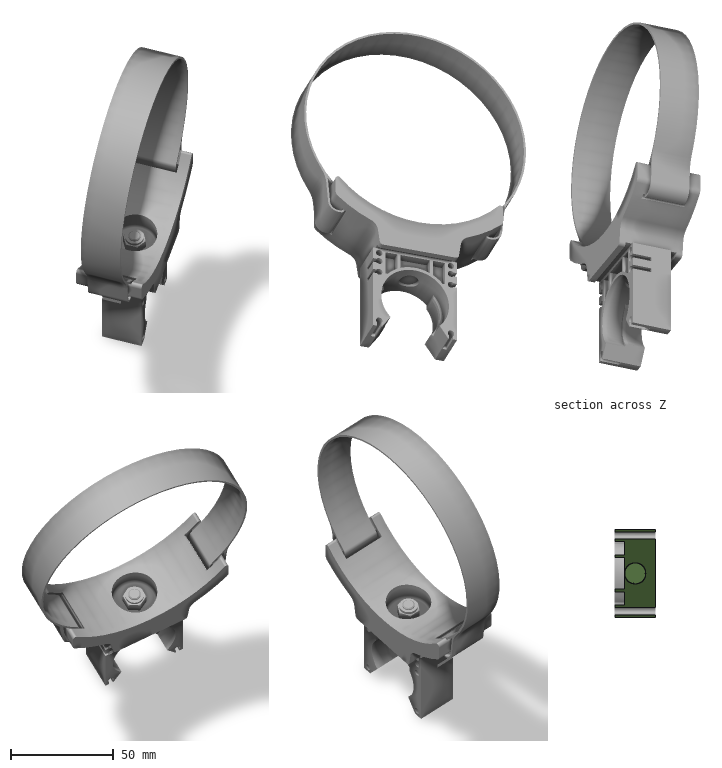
import cadquery as cq
import math


strap_width = 20.1
strap_thickness = 1.0
ring_outer_radius = 57.0
ring_radius = ring_outer_radius - strap_thickness / 2
flare_angle = 32.5
flare_radius = 16.3
outer_leg_lean = 5.0
outer_bend_radius = 5.0
slot_bend_radius = 1.7
slot_leg_y = 36.5
loop_bottom_z = -53.0

saddle_width = 33.2
saddle_inner_radius = 55.5
saddle_outer_radius = 64.2
saddle_half_span = 43.0
saddle_tip_z = -37.3
tip_outer_fillet = 1.7
tip_inner_fillet = 1.0
elbow_fillet = 3.1
foot_bottom_z = -72.1
foot_half_length = 20.1
foot_draft = 8.0
foot_edge_fillet = 1.7
neck_fillet = 6.0
channel_width = 26.7
recess_width = 22.5
slot_inner_top_y = 33.5
slot_inner_bottom_y = 35.8
slot_outer_y = 37.7
slot_bottom_z = -54.0
nut_pocket_diameter = 22.2
nut_pocket_floor_z = -64.0
nut_pocket_fillet = 1.2

clip_width = strap_width
clip_half_length = 21.5
clip_top_z = -70.4
clip_bottom_z = ring_outer_radius - 172
bore_z = -96.7
bore_radius = 17.4
ridge_radius = 15.8
ridge_gap_half_length = 12.7
ridge_width = clip_width / 2
ridge_lead_in_length = 1.5
ridge_lead_in_depth = 0.3
jaw_tip_y = 11.7
jaw_tip_z = -107.4
jaw_foot_y = 17.0
pocket_depth = 4.8
pocket_roof_z = clip_top_z - 1.5
pocket_arc_radius = 19.0
center_pocket_half_length = 7.5
side_pocket_inner_y = 9.1
side_pocket_outer_y = 15.3
side_pocket_bottom_z = -84.1
hole_diameter = 3.3
hole_y = 18.4
plain_hole_z = -73.0
slotted_hole_zs = (-77.6, -83.8)
jaw_hole_z = -111.8
wire_slot_height = 2.0
wire_slot_depth = 9.8

bolt_diameter = 6.0
bolt_end_z = -56.5
bolt_end_chamfer = 0.5
bolt_head_diameter = 10.0
bolt_head_height = 5.9
bolt_head_top_z = -72.3
nut_across_flats = 10.0
nut_hexagon_height = 5.2
nut_height = 6.5
nut_chamfer = 0.5
nut_collar_diameter = 9.0
insert_diameter = 7.5
insert_height = 1.4


def bar_along_x(outline, width):
    """Solid of the given width, centred on x = 0, from a closed YZ outline."""
    return outline.extrude(width / 2, both=True)


def block(x_range, y_range, z_range):
    """Box between the given limits."""
    size = [high - low for low, high in (x_range, y_range, z_range)]
    return cq.Workplane("XY").box(*size, centered=False).translate((x_range[0], y_range[0], z_range[0]))


def cylinder_x(radius, y, z, width):
    """Cylinder along X, centred on x = 0."""
    return bar_along_x(cq.Workplane("YZ").center(y, z).circle(radius), width)


def cylinder_z(diameter, bottom_z, top_z):
    """Cylinder on the Z axis."""
    return cq.Workplane("XY").workplane(offset=bottom_z).circle(diameter / 2).extrude(top_z - bottom_z)


def both_sides(shape):
    """Shape and its mirror image across y = 0, for use as two cutters."""
    return cq.Workplane(obj=cq.Compound.makeCompound([shape.val(), shape.mirror("XZ").val()]))


def band(start, heading, steps):
    """Strip of strap whose middle line starts at a YZ point with a heading in degrees.

    Each step is (length, 0) for a straight or (radius, turn) for an arc, with turn positive to the left.
    """
    half = strap_thickness / 2

    def edge_point(point, direction, side):
        angle = math.radians(direction)
        return (point[0] - side * half * math.sin(angle), point[1] + side * half * math.cos(angle))

    def advance(point, direction, size, turn):
        if turn == 0:
            distance = size
        else:
            distance = 2 * size * math.sin(math.radians(abs(turn) / 2))
        angle = math.radians(direction + turn / 2)
        return (point[0] + distance * math.cos(angle), point[1] + distance * math.sin(angle))

    stations = [(start, heading)]
    middles = []
    for size, turn in steps:
        point, direction = stations[-1]
        middles.append((advance(point, direction, size, turn / 2), direction + turn / 2))
        stations.append((advance(point, direction, size, turn), direction + turn))

    outline = cq.Workplane("YZ").moveTo(*edge_point(*stations[0], 1))
    for index, (_, turn) in enumerate(steps):
        end = edge_point(*stations[index + 1], 1)
        if turn == 0:
            outline = outline.lineTo(*end)
        else:
            outline = outline.threePointArc(edge_point(*middles[index], 1), end)
    outline = outline.lineTo(*edge_point(*stations[-1], -1))
    for index in reversed(range(len(steps))):
        end = edge_point(*stations[index], -1)
        if steps[index][1] == 0:
            outline = outline.lineTo(*end)
        else:
            outline = outline.threePointArc(edge_point(*middles[index], -1), end)
    return bar_along_x(outline.close(), strap_width)


def make_strap():
    """Ring whose two ends each loop through a slot of the saddle and run back up to the ring."""
    entry_y = slot_leg_y + slot_bend_radius
    entry_z = -math.sqrt((ring_radius + slot_bend_radius) ** 2 - entry_y ** 2)
    entry_angle = math.degrees(math.atan2(entry_y, -entry_z))
    ring_turn = 180 - entry_angle

    flare = math.radians(flare_angle)
    lean = math.radians(outer_leg_lean)
    flare_center_distance = ring_radius + flare_radius
    leg_top_y = flare_center_distance * math.cos(flare) - flare_radius * math.cos(lean)
    leg_top_z = -flare_center_distance * math.sin(flare) + flare_radius * math.sin(lean)
    leg_bottom_z = loop_bottom_z + outer_bend_radius * (1 - math.sin(lean))
    leg_length = (leg_top_z - leg_bottom_z) / math.cos(lean)
    leg_bottom_y = leg_top_y - leg_length * math.sin(lean)
    bottom_end_y = leg_bottom_y - outer_bend_radius * math.cos(lean)

    ring_end = math.radians(entry_angle)
    start = (ring_radius * math.sin(ring_end), -ring_radius * math.cos(ring_end))
    mirrored_start = (-start[0], start[1])
    ring = band(mirrored_start, ring_turn, [(ring_radius, -2 * ring_turn)])
    loop = band(
        start,
        -ring_turn,
        [
            (slot_bend_radius, 90 - entry_angle),
            (entry_z - loop_bottom_z - slot_bend_radius, 0),
            (slot_bend_radius, 90),
            (bottom_end_y - slot_leg_y - slot_bend_radius, 0),
            (outer_bend_radius, 90 - outer_leg_lean),
            (leg_length, 0),
            (flare_radius, outer_leg_lean - flare_angle),
        ],
    )
    return ring.union(loop).union(loop.mirror("XZ"))


def saddle_blank():
    """Curved cradle on a drafted foot, with all outline corners rounded."""
    cradle = bar_along_x(
        cq.Workplane("YZ").circle(saddle_outer_radius), saddle_width
    ).intersect(
        block(
            (-saddle_width, saddle_width),
            (-saddle_half_span, saddle_half_span),
            (-saddle_outer_radius, saddle_tip_z),
        )
    )
    foot_rise = saddle_inner_radius + foot_bottom_z
    foot_top_half = foot_half_length - foot_rise * math.tan(math.radians(foot_draft))
    foot_outline = cq.Workplane("YZ").polyline(
        [
            (-foot_half_length, foot_bottom_z),
            (foot_half_length, foot_bottom_z),
            (foot_top_half, -saddle_inner_radius),
            (-foot_top_half, -saddle_inner_radius),
        ]
    ).close()
    blank = cradle.union(bar_along_x(foot_outline, saddle_width))
    blank = blank.cut(cylinder_x(saddle_inner_radius, 0, 0, saddle_width))

    elbow_z = -math.sqrt(saddle_outer_radius ** 2 - saddle_half_span ** 2)
    tip_inner_y = math.sqrt(saddle_inner_radius ** 2 - saddle_tip_z ** 2)
    neck_z = -math.sqrt(saddle_outer_radius ** 2 - foot_top_half ** 2)
    corners = [
        (saddle_half_span, saddle_tip_z, tip_outer_fillet),
        (tip_inner_y, saddle_tip_z, tip_inner_fillet),
        (saddle_half_span, elbow_z, elbow_fillet),
        (foot_top_half, neck_z, neck_fillet),
        (foot_half_length, foot_bottom_z, foot_edge_fillet),
    ]
    reach = 1.0
    for y, z, radius in corners:
        for side in (-1, 1):
            near_corner = cq.selectors.BoxSelector(
                (-saddle_width, side * y - reach, z - reach),
                (saddle_width, side * y + reach, z + reach),
            )
            blank = blank.edges("|X").edges(near_corner).fillet(radius)
    return blank


def strap_slot():
    """Recess for the strap in the cradle's face, and the slot that leads it out below."""
    recess = cylinder_x(ring_outer_radius, 0, 0, recess_width).intersect(
        block(
            (-saddle_width, saddle_width),
            (slot_inner_top_y, ring_outer_radius),
            (-ring_outer_radius, 0),
        )
    )
    slot_top_z = -math.sqrt(saddle_inner_radius ** 2 - slot_outer_y ** 2)
    slot = bar_along_x(
        cq.Workplane("YZ").polyline(
            [
                (slot_inner_top_y, slot_top_z),
                (slot_inner_bottom_y, slot_bottom_z),
                (slot_outer_y, slot_bottom_z),
                (slot_outer_y, slot_top_z),
            ]
        ).close(),
        recess_width,
    )
    return recess.union(slot)


def make_saddle():
    """Cradle with strap slots, a nut pocket, a bolt hole and a channel for the clip."""
    saddle = saddle_blank()
    channel = block(
        (-channel_width / 2, channel_width / 2),
        (-clip_half_length, clip_half_length),
        (foot_bottom_z, clip_top_z),
    )
    nut_pocket = cylinder_z(nut_pocket_diameter, nut_pocket_floor_z, 0).faces("<Z").edges()
    nut_pocket = nut_pocket.fillet(nut_pocket_fillet)
    bolt_hole = cylinder_z(bolt_diameter, foot_bottom_z, 0)
    return saddle.cut(channel).cut(both_sides(strap_slot())).cut(nut_pocket).cut(bolt_hole)


def stepped_bore():
    """Bore with a narrower ridge, tapered at its entry, in its rear half; the ridge is left out at the crown."""
    through = cylinder_x(ridge_radius, 0, bore_z, clip_width)
    wide = cylinder_x(bore_radius, 0, bore_z, 3 * clip_width)
    front = wide.intersect(
        block(
            (-clip_width, clip_width / 2 - ridge_width),
            (-bore_radius, bore_radius),
            (bore_z - bore_radius, bore_z + bore_radius),
        )
    )
    crown = wide.intersect(
        block(
            (-clip_width, clip_width),
            (-ridge_gap_half_length, ridge_gap_half_length),
            (bore_z, bore_z + bore_radius),
        )
    )
    lead_in_taper = math.degrees(math.atan(ridge_lead_in_depth / ridge_lead_in_length))
    lead_in = (
        cq.Workplane("YZ", origin=(clip_width / 2 - ridge_width, 0, bore_z))
        .circle(ridge_radius + ridge_lead_in_depth)
        .extrude(ridge_lead_in_length, taper=lead_in_taper)
    )
    return through.union(front).union(crown).union(lead_in)


def jaw_opening():
    """Gap between the jaws, widening from the bore to the bottom."""
    outline = cq.Workplane("YZ").polyline(
        [
            (0, bore_z),
            (jaw_tip_y, jaw_tip_z),
            (jaw_foot_y, clip_bottom_z),
            (-jaw_foot_y, clip_bottom_z),
            (-jaw_tip_y, jaw_tip_z),
        ]
    ).close()
    return bar_along_x(outline, clip_width)


def front_pockets():
    """Shallow pockets above the bore in the -X face, ending on an arc around it."""
    front_x = -clip_width / 2
    x_range = (front_x, front_x + pocket_depth)
    keep = cylinder_x(pocket_arc_radius, 0, bore_z, clip_width)
    center = block(x_range, (-center_pocket_half_length, center_pocket_half_length), (bore_z, pocket_roof_z))
    side = block(
        x_range, (side_pocket_inner_y, side_pocket_outer_y), (side_pocket_bottom_z, pocket_roof_z)
    )
    return both_sides(side.cut(keep)), center.cut(keep)


def wire_holes():
    """Four holes through one leg, three of them opened to the outside by half-width slots."""
    x_range = (-clip_width / 2, -clip_width / 2 + wire_slot_depth)
    half = wire_slot_height / 2
    cutter = cylinder_x(hole_diameter / 2, hole_y, plain_hole_z, clip_width)
    for z in slotted_hole_zs:
        cutter = cutter.union(cylinder_x(hole_diameter / 2, hole_y, z, clip_width))
        cutter = cutter.union(block(x_range, (hole_y, clip_half_length), (z - half, z + half)))
    cutter = cutter.union(cylinder_x(hole_diameter / 2, hole_y, jaw_hole_z, clip_width))
    return cutter.union(block(x_range, (hole_y - half, hole_y + half), (clip_bottom_z, jaw_hole_z)))


def make_clip():
    """Two-jawed clip below the saddle, bored for a tube and for the bolt."""
    clip = block(
        (-clip_width / 2, clip_width / 2),
        (-clip_half_length, clip_half_length),
        (clip_bottom_z, clip_top_z),
    )
    clip = clip.cut(stepped_bore()).cut(jaw_opening())
    for pocket in front_pockets():
        clip = clip.cut(pocket)
    holes = wire_holes()
    clip = clip.cut(holes).cut(holes.mirror("XZ"))
    bolt_hole = cylinder_z(bolt_diameter, bolt_head_top_z, clip_top_z)
    head_recess = cylinder_z(bolt_head_diameter, bore_z, bolt_head_top_z)
    return clip.cut(bolt_hole).cut(head_recess)


def make_bolt():
    """Bolt with a round head, pointing up through the clip and the saddle."""
    head = cylinder_z(bolt_head_diameter, bolt_head_top_z - bolt_head_height, bolt_head_top_z)
    shank = cylinder_z(bolt_diameter, bolt_head_top_z, bolt_end_z).faces(">Z").chamfer(bolt_end_chamfer)
    return head.union(shank)


def make_nut():
    """Locknut: hexagon with corners on X and trimmed upper corners, and a collar that holds the insert."""
    corner_diameter = nut_across_flats / math.cos(math.radians(30))
    floor = cq.Workplane("XY").workplane(offset=nut_pocket_floor_z)
    hexagon_top_z = nut_pocket_floor_z + nut_hexagon_height
    top_z = nut_pocket_floor_z + nut_height
    trim = cylinder_z(corner_diameter, nut_pocket_floor_z, hexagon_top_z).faces(">Z").chamfer(nut_chamfer)
    hexagon = floor.polygon(6, corner_diameter).extrude(nut_hexagon_height).intersect(trim)
    nut = hexagon.union(cylinder_z(nut_collar_diameter, nut_pocket_floor_z, top_z))
    nut = nut.cut(cylinder_z(bolt_diameter, nut_pocket_floor_z, top_z))
    return nut.cut(cylinder_z(insert_diameter, top_z - insert_height, top_z))


def make_insert():
    """Locking ring between the nut's collar and the bolt."""
    top_z = nut_pocket_floor_z + nut_height
    ring = cylinder_z(insert_diameter, top_z - insert_height, top_z)
    return ring.cut(cylinder_z(bolt_diameter, top_z - insert_height, top_z))


strap = make_strap()
saddle = make_saddle()
clip = make_clip()
bolt = make_bolt()
nut = make_nut()
lock_insert = make_insert()

result = cq.Compound.makeCompound(
    [strap.val(), saddle.val(), clip.val(), bolt.val(), nut.val(), lock_insert.val()]
)